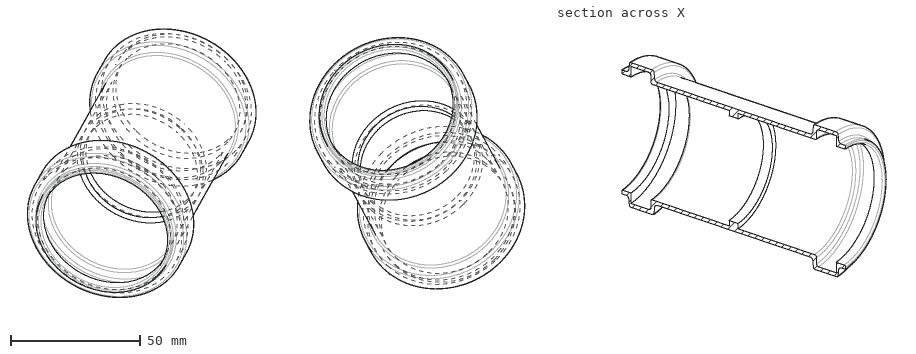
import cadquery as cq

length = 106.0
half_length = length / 2

tube_radius = 54.6 / 2
spigot_radius = 54.9 / 2
collar_radius = 64.1 / 2

stop_radius = 46.1 / 2
socket_radius = 50.8 / 2
mouth_radius = 51.1 / 2
groove_radius = 60.3 / 2

collar_start = 3.2
collar_end = 15.9
flank_lean = 0.5
rim_fillet = 1.1
root_fillet = 1.0

groove_start = 4.6
groove_end = 13.8
groove_edge_fillet = 1.0
groove_floor_fillet = 1.0

mouth_fillet = 0.7
end_fillet = 0.4
stop_width = 4.2

outer_flank = half_length - collar_start
inner_flank = half_length - collar_end
outer_rim = outer_flank - flank_lean
inner_rim = inner_flank + flank_lean
groove_outer_wall = half_length - groove_start
groove_inner_wall = half_length - groove_end


def revolve_mirrored(half_outline):
    """Revolve an outline about Y, given as (radius, y) points from the middle to the +Y end."""
    other_half = [(radius, -y) for radius, y in reversed(half_outline)]
    outline = [(0, -half_length), *other_half, *half_outline, (0, half_length)]
    return cq.Workplane("XY").polyline(outline).close().revolve(360, (0, 0, 0), (0, 1, 0))


def fillet_circle(body, radius, y, fillet):
    """Fillet the circular edges of the given radius at +y and -y."""
    for side in (1, -1):
        centre = cq.Vector(0, side * y, 0)
        circles = [
            edge for edge in body.edges("%CIRCLE").vals()
            if abs(edge.radius() - radius) < 0.01 and (edge.arcCenter() - centre).Length < 0.01
        ]
        body = body.newObject(circles).fillet(fillet)
    return body


def outside():
    """Tube with a collar and a short spigot at each end, filled solid."""
    body = revolve_mirrored([
        (tube_radius, inner_flank),
        (collar_radius, inner_rim),
        (collar_radius, outer_rim),
        (spigot_radius, outer_flank),
        (spigot_radius, half_length),
    ])
    body = fillet_circle(body, tube_radius, inner_flank, root_fillet)
    body = fillet_circle(body, spigot_radius, outer_flank, root_fillet)
    body = fillet_circle(body, collar_radius, inner_rim, rim_fillet)
    body = fillet_circle(body, collar_radius, outer_rim, rim_fillet)
    return body


def cavity():
    """Space inside: stop ring, sockets, seal grooves and mouths."""
    return revolve_mirrored([
        (stop_radius, stop_width / 2),
        (socket_radius, stop_width / 2),
        (socket_radius, groove_inner_wall),
        (groove_radius, groove_inner_wall),
        (groove_radius, groove_outer_wall),
        (mouth_radius, groove_outer_wall),
        (mouth_radius, half_length),
    ])


result = outside().cut(cavity())
result = fillet_circle(result, socket_radius, groove_inner_wall, groove_edge_fillet)
result = fillet_circle(result, groove_radius, groove_inner_wall, groove_floor_fillet)
result = fillet_circle(result, mouth_radius, half_length, mouth_fillet)
result = fillet_circle(result, spigot_radius, half_length, end_fillet)